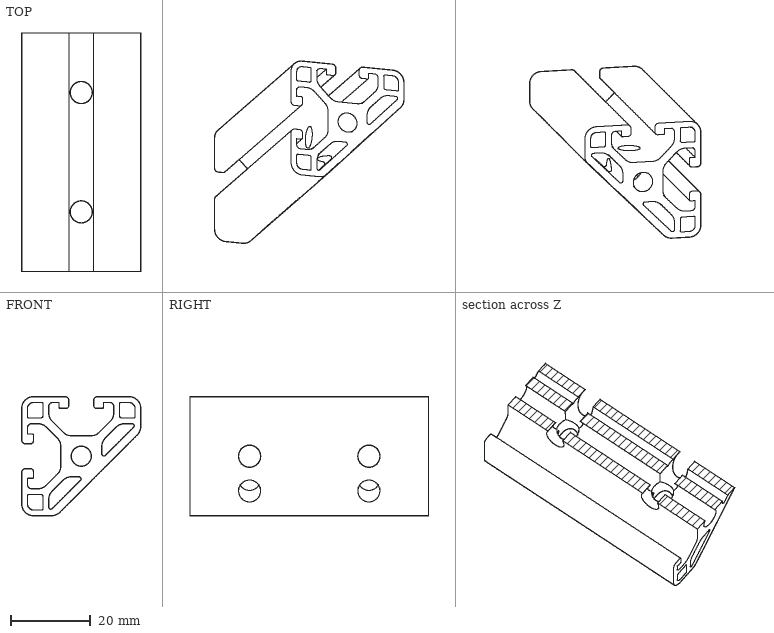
import cadquery as cq
import math


side = 30.0
length = 60.0
half = side / 2
outer_radius = 3.0

wall = 1.5
cell_outer_size = 6.85
cell_web = 1.5
slot_side = half - cell_outer_size
core_half = 5.2
web_offset = 1.5
bevel_outer_offset = 8.75
bevel_inner_offset = 5.85
web_radius = 3.0
slot_floor_radius = 2.65

mouth_half = 3.1
lip_depth = 3.0
lip_width = 2.5
mouth_radius = 1.0
lip_tip_radius = 0.75
lip_heel_radius = 0.3
slot_roof_radius = 1.0

cell_outer_radius = outer_radius - wall
cell_inner_radius = 0.5
cell_side_radius = 0.3
bevel_cavity_tip_radius = 0.5

bore_diameter = 5.0
cross_hole_diameter = 5.5
cross_hole_spacing = 30.0


def extrude_rounded(corners):
    """Extrude a closed outline of (x, z, radius) corners over the full length."""
    path = None
    for i, (x, z, radius) in enumerate(corners):
        corner = cq.Vector(x, z)
        before = corners[i - 1]
        after = corners[(i + 1) % len(corners)]
        to_before = (cq.Vector(before[0], before[1]) - corner).normalized()
        to_after = (cq.Vector(after[0], after[1]) - corner).normalized()
        half_angle = to_before.getAngle(to_after) / 2
        tangent_length = radius / math.tan(half_angle)
        start = corner + to_before * tangent_length
        end = corner + to_after * tangent_length
        bisector = (to_before + to_after).normalized()
        middle = corner + bisector * (radius / math.sin(half_angle) - radius)
        if path is None:
            path = cq.Workplane("XZ").moveTo(start.x, start.y)
        else:
            path = path.lineTo(start.x, start.y)
        if radius > 0:
            path = path.threePointArc((middle.x, middle.y), (end.x, end.y))
    return path.close().extrude(length / 2, both=True)


def mirror_x(corners):
    """Reflect corners left to right, reversing their order."""
    return [(-x, z, radius) for x, z, radius in reversed(corners)]


def mirror_diagonal(corners):
    """Reflect corners about the line z = -x, reversing their order."""
    return [(-z, -x, radius) for x, z, radius in reversed(corners)]


def top_slot_corners():
    """T-slot in the top face, from its left lip to its right lip."""
    lip_bottom = half - lip_depth
    lip_heel = mouth_half + lip_width
    roof = half - wall
    right_half = [
        (core_half - web_offset, core_half, slot_floor_radius),
        (slot_side, slot_side + web_offset, web_radius),
        (slot_side, roof, slot_roof_radius),
        (lip_heel, roof, 0),
        (lip_heel, lip_bottom, lip_heel_radius),
        (mouth_half, lip_bottom, lip_tip_radius),
        (mouth_half, half, mouth_radius),
    ]
    return mirror_x(right_half) + right_half


def profile_body():
    """Solid profile with a slot in the top and left faces and the bevel at lower right."""
    top_slot = top_slot_corners()
    bevel_end = bevel_outer_offset - half
    corners = (
        top_slot
        + [
            (half, half, outer_radius),
            (half, -bevel_end, outer_radius),
            (bevel_end, -half, outer_radius),
            (-half, -half, outer_radius),
        ]
        + mirror_diagonal(top_slot)
        + [(-half, half, outer_radius)]
    )
    return extrude_rounded(corners)


def corner_cells():
    """Square hollows in the three full corners."""
    outer = half - wall
    inner = slot_side + cell_web
    top_right = [
        (inner, outer, cell_side_radius),
        (outer, outer, cell_outer_radius),
        (outer, inner, cell_side_radius),
        (inner, inner, cell_inner_radius),
    ]
    cells = [top_right, mirror_x(top_right), mirror_diagonal(top_right)]
    return [extrude_rounded(cell) for cell in cells]


def bevel_cavities():
    """Pair of hollows between the diagonal webs and the bevel wall."""
    upper = [
        (core_half, core_half - web_offset, web_radius),
        (slot_side + web_offset, slot_side, web_radius),
        (slot_side + bevel_inner_offset, slot_side, bevel_cavity_tip_radius),
        (core_half, core_half - bevel_inner_offset, bevel_cavity_tip_radius),
    ]
    return [extrude_rounded(upper), extrude_rounded(mirror_diagonal(upper))]


def bore():
    """Central hole along the profile."""
    return cq.Workplane("XZ").circle(bore_diameter / 2).extrude(length / 2, both=True)


def cross_holes():
    """Through holes along Z and X, crossing the bore at two stations."""
    holes = []
    for y in (-cross_hole_spacing / 2, cross_hole_spacing / 2):
        for plane, center in (("XY", (0, y)), ("YZ", (y, 0))):
            circle = cq.Workplane(plane).center(*center).circle(cross_hole_diameter / 2)
            holes.append(circle.extrude(half, both=True))
    return holes


result = profile_body()
for cutter in corner_cells() + bevel_cavities() + [bore()] + cross_holes():
    result = result.cut(cutter)